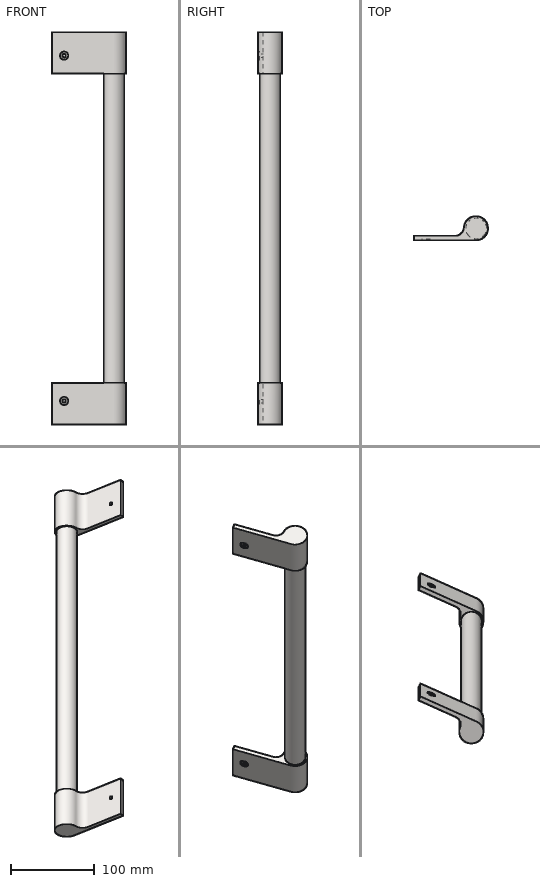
import cadquery as cq
import math

handle_length = 470.0
bracket_width = 89.0

bracket_height = 50.0
boss_diameter = 29.0
plate_thickness = 5.5
blend_radius = 10.58

screw_diameter = 4.0
counterbore_diameter = 10.0
counterbore_depth = 2.0
screw_x = 14.5
screw_from_end = 28.0

bar_diameter = 25.0

boss_radius = boss_diameter / 2
bar_x = bracket_width - boss_radius
bar_y = boss_radius
bar_length = handle_length - 2 * bracket_height


def bracket_profile():
    """Flat plate running tangent into a round boss, with a concave blend between them."""
    blend_y = plate_thickness + blend_radius
    center_distance = boss_radius + blend_radius
    blend_angle = math.asin((blend_y - bar_y) / center_distance)
    blend_x = bar_x - center_distance * math.cos(blend_angle)

    blend_start = (blend_x, plate_thickness)
    middle_angle = (blend_angle + math.pi / 2) / 2
    blend_middle = (
        blend_x + blend_radius * math.cos(middle_angle),
        blend_y - blend_radius * math.sin(middle_angle),
    )
    blend_end = (
        bar_x - boss_radius * math.cos(blend_angle),
        bar_y + boss_radius * math.sin(blend_angle),
    )
    boss_middle = (bar_x + boss_radius * math.cos(math.pi / 4), bar_y + boss_radius * math.sin(math.pi / 4))

    return (
        cq.Workplane("XY")
        .moveTo(0, 0)
        .lineTo(0, plate_thickness)
        .lineTo(*blend_start)
        .threePointArc(blend_middle, blend_end)
        .threePointArc(boss_middle, (bar_x, 0))
        .close()
    )


def screw_cutter():
    """Counterbored through hole, entering from the plate's front face."""
    front = cq.Workplane("XZ").center(screw_x, screw_from_end)
    shank = front.circle(screw_diameter / 2).extrude(-plate_thickness)
    head = front.circle(counterbore_diameter / 2).extrude(-counterbore_depth)
    return shank.union(head)


def make_bracket():
    """Bracket for the lower end of the bar."""
    return bracket_profile().extrude(bracket_height).cut(screw_cutter())


def make_bar():
    """Round bar held between the inner faces of the two brackets."""
    return (
        cq.Workplane("XY", origin=(bar_x, bar_y, bracket_height))
        .circle(bar_diameter / 2)
        .extrude(bar_length)
    )


brackets = []
for is_upper in (False, True):
    bracket = make_bracket()
    if is_upper:
        bracket = bracket.mirror("XY", (0, 0, handle_length / 2))
    brackets.append(bracket.val())

bar = make_bar()

result = cq.Compound.makeCompound([*brackets, bar.val()])